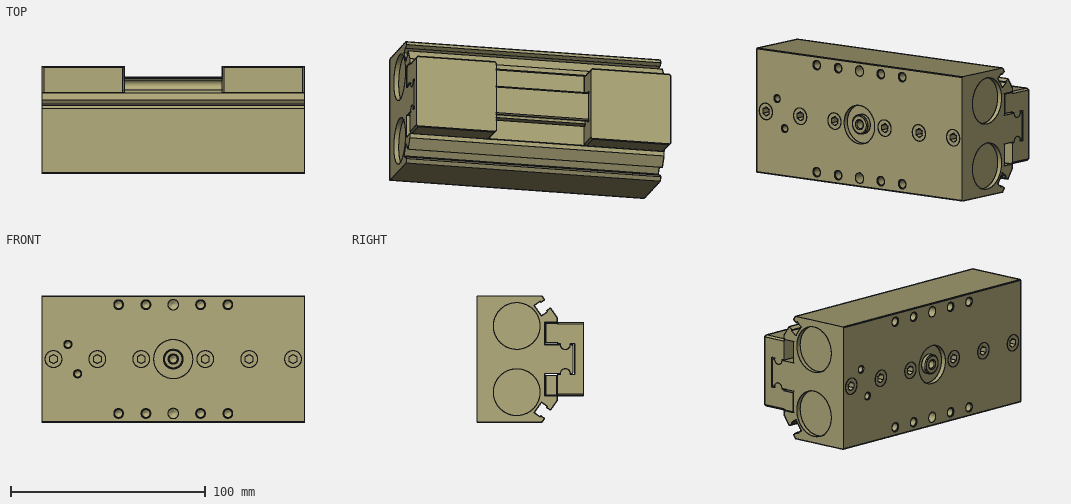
import cadquery as cq
import math

length = 135.0
height = 65.0
total_depth = 55.0
housing_depth = 41.5
front_chamfer = 0.4

half_length = length / 2
half_height = height / 2

slope_start_y = 33.5
slope_end_z = 21.2
slot_distance = 5.0
slot_mouth = 5.1
slot_mouth_depth = 2.4
slot_undercut = 0.7
slot_depth = 6.1

trough_height = 37.8
trough_floor_y = 35.0
rail_height = 15.0
rail_back_y = 49.5
rail_chamfer = 0.7
groove_diameter = 5.1
groove_y = 45.5
groove_z = rail_height / 2

bore_diameter = 24.0
bore_depth = 2.5
bore_y = 20.5
bore_z = 17.0

hole_pitch = 14.0
holes_per_side = 2
hole_row_z = 28.0
thread_diameter = 4.2
thread_mouth = 5.0
dowel_diameter = 5.4
small_thread_diameter = 3.4
small_thread_mouth = 4.2
small_hole_spots = [(-54.1, 7.5), (-49.1, -7.5)]
hole_depth = 12.2
drill_tip_angle = 118.0
screw_first_x = 16.5
screw_pitch = 22.5
screws_per_side = 3
screw_head_diameter = 8.6
screw_head_setback = 0.1
socket_flats = 4.0
socket_depth = 5.4
hub_recess_diameter = 20.1
hub_recess_depth = 2.7
hub_diameter = 10.1
hub_chamfer = 0.5
hub_hole_diameter = 4.2
hub_hole_mouth = 5.3

carriage_length = 42.4
carriage_height = trough_height
carriage_front_y = 41.6
carriage_end_chamfer = 1.0
carriage_back_chamfer = 0.4
channel_height = 15.7
channel_back_y = 50.2
rack_inner_z = 8.4
rack_outer_z = 18.5
rack_front_y = 35.4
rack_back_y = 41.0
rack_reach = length - 2 * carriage_length


def box(x_range, y_range, z_range):
    """Box between the given limits."""
    (x0, x1), (y0, y1), (z0, z1) = x_range, y_range, z_range
    return cq.Workplane("XY").box(x1 - x0, y1 - y0, z1 - z0, centered=False).translate((x0, y0, z0))


def rod(diameter, y, z, x_start, x_length):
    """Round bar along X."""
    return cq.Workplane("YZ", origin=(x_start, y, z)).circle(diameter / 2).extrude(x_length)


def drilled_hole(x, z, diameter, mouth):
    """Blind hole from the front face: countersunk mouth, straight wall and drill tip."""
    radius = diameter / 2
    mouth_radius = mouth / 2
    tip_y = hole_depth + radius / math.tan(math.radians(drill_tip_angle / 2))
    outline = [(0, 0), (mouth_radius, 0), (radius, mouth_radius - radius), (radius, hole_depth), (0, tip_y)]
    if mouth_radius == radius:
        del outline[2]
    return cq.Workplane("XY").polyline(outline).close().revolve(360, (0, 0), (0, 1)).translate((x, 0, z))


def t_slot():
    """Cutter for the T-slot in the upper sloped corner."""
    rise_y = housing_depth - slope_start_y
    drop_z = half_height - slope_end_z
    slope_length = math.hypot(rise_y, drop_z)
    along_y = rise_y / slope_length
    along_z = -drop_z / slope_length
    centre = (-half_length, slope_start_y + slot_distance * along_y, half_height + slot_distance * along_z)
    face = cq.Workplane(cq.Plane(origin=centre, xDir=(0, along_y, along_z), normal=(1, 0, 0)))
    mouth = face.rect(slot_mouth, 2 * slot_depth).extrude(length)
    head_depth = slot_depth - slot_mouth_depth
    head_middle = -(slot_mouth_depth + slot_depth) / 2
    head = face.center(0, head_middle).rect(slot_mouth + 2 * slot_undercut, head_depth).extrude(length)
    return mouth.union(head)


def housing_blank():
    """Extruded housing section with the rack trough and the two T-slots."""
    upper_half = [
        (0, 0),
        (0, half_height - front_chamfer),
        (front_chamfer, half_height),
        (slope_start_y, half_height),
        (housing_depth, slope_end_z),
        (housing_depth, trough_height / 2),
        (trough_floor_y, trough_height / 2),
        (trough_floor_y, 0),
    ]
    half = cq.Workplane("YZ", origin=(-half_length, 0, 0)).polyline(upper_half).close().extrude(length)
    half = half.cut(t_slot())
    return half.union(half.mirror("XY"))


def guide_rail():
    """Rail along the full length with a ball groove in its upper and lower faces."""
    rail = box((-half_length, half_length), (trough_floor_y, rail_back_y), (-rail_height / 2, rail_height / 2))
    rail = rail.faces(">Y").edges("|X").chamfer(rail_chamfer)
    for side in (-1, 1):
        rail = rail.cut(rod(groove_diameter, groove_y, side * groove_z, -half_length, length))
    return rail


def cylinder_recesses():
    """Cutters for the round recesses, two in each end."""
    cutters = cq.Workplane("YZ")
    for z in (-bore_z, bore_z):
        for x_start in (-half_length, half_length - bore_depth):
            cutters = cutters.add(rod(bore_diameter, bore_y, z, x_start, bore_depth))
    return cutters.combine()


def front_holes():
    """Cutters for the two hole rows and the pair of small threaded holes."""
    cutters = cq.Workplane("XY")
    for column in range(-holes_per_side, holes_per_side + 1):
        for z in (-hole_row_z, hole_row_z):
            if column == 0:
                hole = drilled_hole(0, z, dowel_diameter, dowel_diameter)
            else:
                hole = drilled_hole(column * hole_pitch, z, thread_diameter, thread_mouth)
            cutters = cutters.add(hole)
    for x, z in small_hole_spots:
        cutters = cutters.add(drilled_hole(x, z, small_thread_diameter, small_thread_mouth))
    return cutters.combine()


def rail_screws():
    """Cutters for the set-back screw heads and their hexagon sockets, two corners up and down."""
    corner_diameter = socket_flats / math.cos(math.radians(30))
    distances = [screw_first_x + i * screw_pitch for i in range(screws_per_side)]
    cutters = cq.Workplane("XZ")
    for x in [side * distance for side in (-1, 1) for distance in distances]:
        screw_axis = cq.Workplane("XZ", origin=(x, 0, 0)).transformed(rotate=(0, 0, 90))
        head = screw_axis.circle(screw_head_diameter / 2).extrude(-screw_head_setback)
        socket = screw_axis.polygon(6, corner_diameter).extrude(-socket_depth)
        cutters = cutters.add(head.union(socket))
    return cutters.combine()


def hub_recess():
    """Cutter for the ring-shaped recess around the central hub, and for the hole in the hub."""
    recess = cq.Workplane("XZ").circle(hub_recess_diameter / 2).extrude(-hub_recess_depth)
    hub = cq.Workplane("XZ").circle(hub_diameter / 2).extrude(-hub_recess_depth)
    hub = hub.faces("<Y").edges().chamfer(hub_chamfer)
    return recess.cut(hub).union(drilled_hole(0, 0, hub_hole_diameter, hub_hole_mouth))


def make_housing():
    """Housing with the guide rail, end recesses and front-face features."""
    housing = housing_blank().union(guide_rail())
    for cutter in (cylinder_recesses(), front_holes(), rail_screws(), hub_recess()):
        housing = housing.cut(cutter)
    return housing


def make_carriage():
    """Left carriage: block around the rail, ball rods in the grooves and the lower rack."""
    inner_x = carriage_length - half_length
    span = (-half_length, inner_x)
    block = box(span, (carriage_front_y, total_depth), (-carriage_height / 2, carriage_height / 2))
    block = block.faces("<Z or >Z").edges("|Y").chamfer(carriage_end_chamfer)
    block = block.faces(">Y").edges("<Z or >Z").chamfer(carriage_back_chamfer)
    channel = box(span, (carriage_front_y, channel_back_y), (-channel_height / 2, channel_height / 2))
    carriage = block.cut(channel)
    for side in (-1, 1):
        carriage = carriage.union(rod(groove_diameter, groove_y, side * groove_z, -half_length, carriage_length))
    rack_z = (-rack_outer_z, -rack_inner_z)
    carriage = carriage.union(box(span, (rack_front_y, carriage_front_y), rack_z))
    return carriage.union(box((-half_length, inner_x + rack_reach), (rack_front_y, rack_back_y), rack_z))


housing = make_housing()

carriages = [make_carriage().rotate((0, 0, 0), (0, 1, 0), turn) for turn in (0, 180)]

result = cq.Compound.makeCompound([housing.val(), *[carriage.val() for carriage in carriages]])